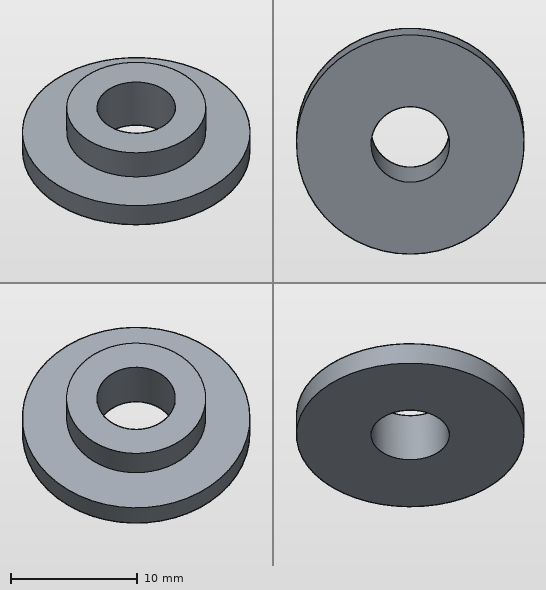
import cadquery as cq

flange_diameter = 18.0
boss_diameter = 11.0
bore_diameter = 6.2
total_height = 4.5
flange_thickness = 2.0
boss_height = total_height - flange_thickness

flange = cq.Workplane("XY").circle(flange_diameter / 2).extrude(flange_thickness)

result = (
    flange.faces(">Z").workplane()
    .circle(boss_diameter / 2).extrude(boss_height)
    .faces(">Z").workplane()
    .hole(bore_diameter)
)